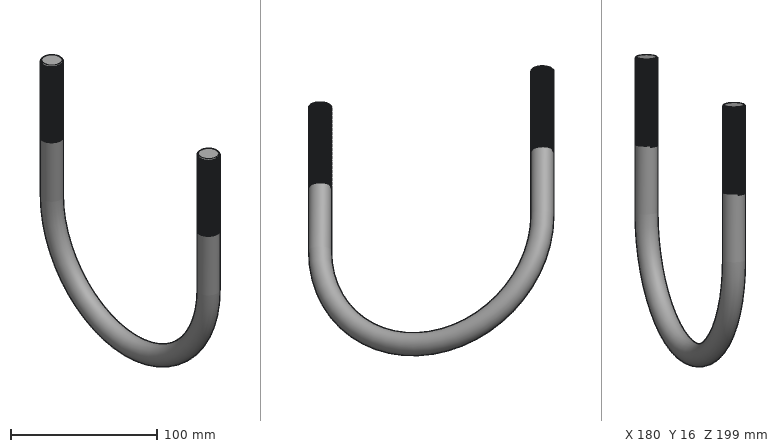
import cadquery as cq
import math

ROD_DIAMETER = 16.0
OVERALL_WIDTH = 180.0
OVERALL_HEIGHT = 199.0
END_CHAMFER = 1.0

PITCH = 1.0
THREAD_LENGTH = 62.0
FLANK_HALF_ANGLE = math.radians(30)
CREST_FLAT = PITCH / 8
ROOT_FLAT = PITCH / 4

ROD_RADIUS = ROD_DIAMETER / 2
BEND_RADIUS = OVERALL_WIDTH / 2 - ROD_RADIUS
LEG_LENGTH = OVERALL_HEIGHT - OVERALL_WIDTH / 2

GROOVE_MOUTH = PITCH - CREST_FLAT
FLANK_RISE = (GROOVE_MOUTH - ROOT_FLAT) / 2
ROOT_RADIUS = ROD_RADIUS - FLANK_RISE / math.tan(FLANK_HALF_ANGLE)
GROOVE_SECTION = [
    (ROD_RADIUS, 0),
    (ROOT_RADIUS, FLANK_RISE),
    (ROOT_RADIUS, FLANK_RISE + ROOT_FLAT),
    (ROD_RADIUS, GROOVE_MOUTH),
]

THREAD_START = LEG_LENGTH - THREAD_LENGTH
TURNS = math.ceil(THREAD_LENGTH / PITCH) + 1
GROOVE_RISE = TURNS * PITCH
BLANK_LENGTH = THREAD_START + GROOVE_RISE + 2 * PITCH
TRIM_CLEARANCE = 1.0

COLLAR_HEIGHT = 0.1
SHANK_LENGTH = THREAD_START - COLLAR_HEIGHT


def helix_turn(radius, height):
    """One turn of the thread helix, starting on the +X side at the given height."""
    return cq.Wire.makeHelix(PITCH, PITCH, radius).translate(cq.Vector(0, 0, height))


def rod_circle(height):
    """Full circle of the bar at the given height."""
    return cq.Wire.makeCircle(ROD_RADIUS, cq.Vector(0, 0, height), cq.Vector(0, 0, 1))


def groove_turn_faces(height):
    """Lower flank, root and upper flank of one groove turn."""
    faces = []
    for lower, upper in zip(GROOVE_SECTION, GROOVE_SECTION[1:]):
        lower_edge = helix_turn(lower[0], height + lower[1])
        upper_edge = helix_turn(upper[0], height + upper[1])
        faces.append(cq.Face.makeRuledSurface(lower_edge, upper_edge))
    return faces


def crest_turn_face(height):
    """Crest strip between the groove turn starting at this height and the next one."""
    lower_edge = helix_turn(ROD_RADIUS, height + GROOVE_MOUTH)
    upper_edge = helix_turn(ROD_RADIUS, height + PITCH)
    return cq.Face.makeRuledSurface(lower_edge, upper_edge)


def groove_cap(height):
    """Flat face that closes the groove at one of its ends."""
    corners = [cq.Vector(radius, 0, height + rise) for radius, rise in GROOVE_SECTION]
    return cq.Face.makeFromWires(cq.Wire.makePolygon(corners, close=True))


def make_threaded_blank():
    """Bar with a helical groove, sewn from its faces, reaching past the finished leg."""
    turn_heights = [THREAD_START + turn * PITCH for turn in range(TURNS)]
    first_lip = helix_turn(ROD_RADIUS, turn_heights[0])
    last_lip = helix_turn(ROD_RADIUS, turn_heights[-1] + GROOVE_MOUTH)
    bottom = rod_circle(SHANK_LENGTH)
    top = rod_circle(BLANK_LENGTH)

    faces = [cq.Face.makeFromWires(bottom), cq.Face.makeFromWires(top)]
    faces.append(cq.Face.makeRuledSurface(bottom, first_lip))
    faces.append(cq.Face.makeRuledSurface(last_lip, top))
    faces.append(groove_cap(THREAD_START))
    faces.append(groove_cap(THREAD_START + GROOVE_RISE))
    for height in turn_heights:
        faces.extend(groove_turn_faces(height))
    for height in turn_heights[:-1]:
        faces.append(crest_turn_face(height))

    single_faces = [face for item in faces for face in item.Faces()]
    return cq.Workplane(obj=cq.Solid.makeSolid(cq.Shell.makeShell(single_faces)))


def make_leg():
    """Straight leg on the Z axis, chamfered at its end, thread starting on the -X side."""
    envelope = (
        cq.Workplane("XY")
        .circle(ROD_RADIUS + TRIM_CLEARANCE)
        .extrude(LEG_LENGTH)
        .faces(">Z")
        .chamfer(END_CHAMFER + TRIM_CLEARANCE)
    )
    threaded_end = make_threaded_blank().intersect(envelope)
    shank = cq.Workplane("XY").circle(ROD_RADIUS).extrude(SHANK_LENGTH)
    return shank.union(threaded_end).rotate((0, 0, 0), (0, 0, 1), 180)


def make_bend():
    """Half torus that joins the lower ends of the legs."""
    return (
        cq.Workplane("XY")
        .center(-BEND_RADIUS, 0)
        .circle(ROD_RADIUS)
        .revolve(180, (BEND_RADIUS, 0, 0), (BEND_RADIUS, -1, 0))
    )


leg = make_leg()
result = make_bend()
for side in (-1, 1):
    result = result.union(leg.translate((side * BEND_RADIUS, 0, 0)))